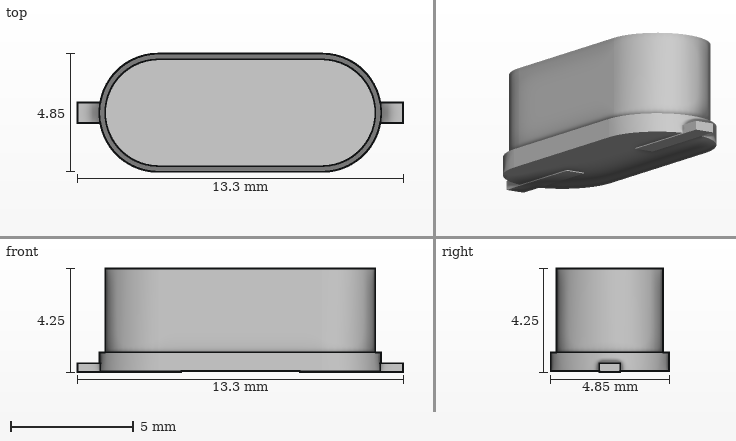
import cadquery as cq

overall_length = 13.31
overall_height = 4.25
base_length = 11.53
base_width = 4.85
base_height = 0.77

can_inset = 0.24
can_length = base_length - 2 * can_inset
can_width = base_width - 2 * can_inset

lead_length = 4.23
lead_width = 0.85
lead_thickness = 0.37
standoff = 0.04

base_top = standoff + base_height
can_height = overall_height - base_top
lead_center = (overall_length - lead_length) / 2


def stadium(length, width, height, bottom):
    """Upright block with fully rounded ends along X."""
    return cq.Workplane("XY").workplane(offset=bottom).slot2D(length, width).extrude(height)


def make_lead(side):
    """Flat lead resting on Z = 0; side is -1 or +1 along X."""
    return (
        cq.Workplane("XY")
        .center(side * lead_center, 0)
        .rect(lead_length, lead_width)
        .extrude(lead_thickness)
    )


def make_base(lead_bodies):
    """Flange with a matching recess for each lead."""
    body = stadium(base_length, base_width, base_height, standoff)
    for lead in lead_bodies:
        body = body.cut(lead)
    return body


def make_can():
    """Cover can standing on the base."""
    return stadium(can_length, can_width, can_height, base_top)


leads = [make_lead(side) for side in (-1, 1)]
base = make_base(leads)
can = make_can()

result = cq.Compound.makeCompound([base.val(), can.val(), *[lead.val() for lead in leads]])